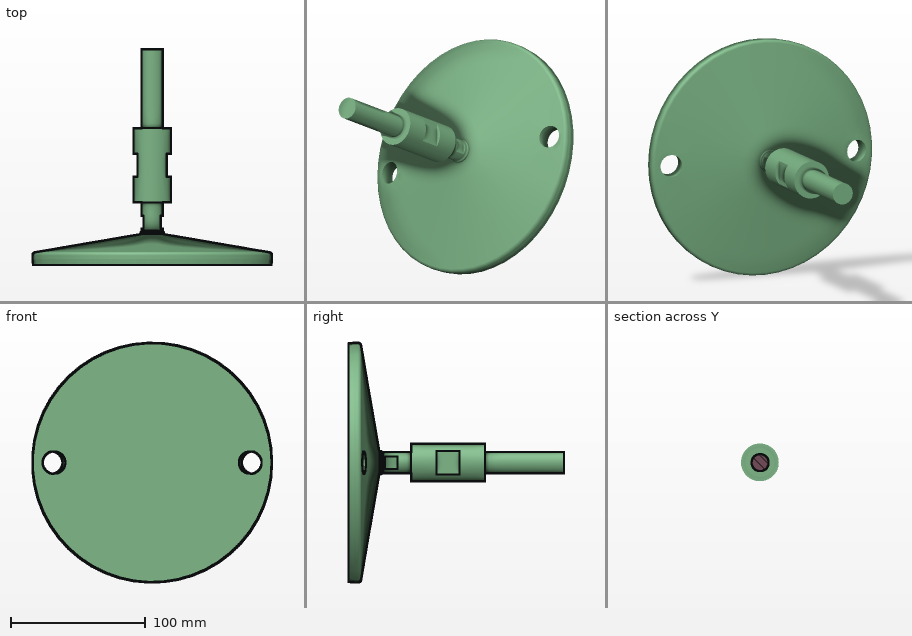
import cadquery as cq
import math


foot_diameter = 177.98
underside_diameter = 177
taper_top_y = 4.3
rim_round_start_y = 7
rim_round_radius = 2.6
cone_slope = math.radians(9.7)
collar_diameter = 17.4
collar_top_y = 24.6
collar_round_radius = 1

anchor_hole_diameter = 16.5
anchor_hole_offset = 72.7
anchor_cut_length = 60

spindle_diameter = 16
spindle_end_y = 160
neck_diameter = 13
shoulder_y = 25.7
spindle_flat_start_y = 27.2
spindle_flat_length = 9.3
spindle_across_flats = 13

sleeve_diameter = 28
sleeve_start_y = 46.5
sleeve_length = 55
sleeve_across_flats = 22
sleeve_flat_length = 17


def cylinder(diameter, start_y, end_y):
    """Solid cylinder on the Y axis."""
    base = cq.Workplane("XZ", origin=(0, start_y, 0))
    return base.circle(diameter / 2).extrude(start_y - end_y)


def cut_wrench_flats(body, diameter, across_flats, start_y, length):
    """Cut two opposite flats facing +X and -X."""
    depth = (diameter - across_flats) / 2
    for side in (-1, 1):
        block_x = side * (across_flats + depth) / 2
        block = cq.Workplane("XY").box(depth, length, diameter)
        body = body.cut(block.translate((block_x, start_y + length / 2, 0)))
    return body


def make_foot():
    """Conical foot with a tapered and rounded rim, a small collar and two anchor holes."""
    rim_radius = foot_diameter / 2
    round_center_x = rim_radius - rim_round_radius

    def rim_round_point(angle):
        return (
            round_center_x + rim_round_radius * math.cos(angle),
            rim_round_start_y + rim_round_radius * math.sin(angle),
        )

    tangent_angle = math.pi / 2 - cone_slope
    cone_start_x, cone_start_y = rim_round_point(tangent_angle)
    collar_radius = collar_diameter / 2
    cone_top_y = cone_start_y + (cone_start_x - collar_radius) * math.tan(cone_slope)
    collar_face_radius = collar_radius - collar_round_radius
    foot = (
        cq.Workplane("XY")
        .lineTo(underside_diameter / 2, 0)
        .lineTo(rim_radius, taper_top_y)
        .lineTo(rim_radius, rim_round_start_y)
        .threePointArc(rim_round_point(tangent_angle / 2), (cone_start_x, cone_start_y))
        .lineTo(collar_radius, cone_top_y)
        .lineTo(collar_radius, collar_top_y - collar_round_radius)
        .radiusArc((collar_face_radius, collar_top_y), -collar_round_radius)
        .lineTo(0, collar_top_y)
        .close()
        .revolve(360, (0, 0, 0), (0, 1, 0))
    )
    for side in (-1, 1):
        axis = cq.Vector(side * math.sin(cone_slope), math.cos(cone_slope), 0)
        start = cq.Vector(side * anchor_hole_offset, 0, 0) - axis * (anchor_cut_length / 2)
        foot = foot.cut(cq.Solid.makeCylinder(anchor_hole_diameter / 2, anchor_cut_length, start, axis))
    return foot


def make_spindle():
    """Rod that stands on the foot through a narrower neck."""
    spindle = cylinder(spindle_diameter, shoulder_y, spindle_end_y)
    spindle = cut_wrench_flats(
        spindle, spindle_diameter, spindle_across_flats, spindle_flat_start_y, spindle_flat_length
    )
    return spindle.union(cylinder(neck_diameter, collar_top_y, shoulder_y))


def make_sleeve():
    """Sleeve around the spindle, with wrench flats at mid-length."""
    end_y = sleeve_start_y + sleeve_length
    sleeve = cylinder(sleeve_diameter, sleeve_start_y, end_y)
    sleeve = sleeve.cut(cylinder(spindle_diameter, sleeve_start_y, end_y))
    flat_start_y = sleeve_start_y + (sleeve_length - sleeve_flat_length) / 2
    return cut_wrench_flats(sleeve, sleeve_diameter, sleeve_across_flats, flat_start_y, sleeve_flat_length)


foot = make_foot()
spindle = make_spindle()
sleeve = make_sleeve()

result = cq.Compound.makeCompound([foot.val(), spindle.val(), sleeve.val()])